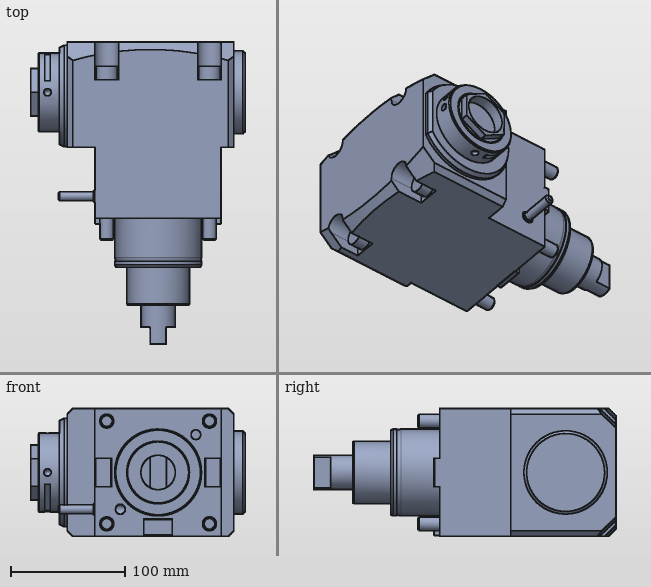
import cadquery as cq
import math


HALF_HEIGHT = 56.0
NARROW_HALF_WIDTH = 55.2
WIDE_LEFT = -79.5
WIDE_RIGHT = 66.3
BACK_Y = 44.0
STEP_Y = -48.0
FACE_Y = -110.0
EDGE_CHAMFER = 5.0

CLEARANCE_RADIUS = 243.0
CLEARANCE_DEPTH = 6.5
CLEARANCE_CENTER_X = (WIDE_LEFT + WIDE_RIGHT) / 2

COLLAR_RADIUS = 38.0
COLLAR_END_Y = -152.9
COLLAR_CHAMFER_LENGTH = 2.0
COLLAR_CHAMFER_DEPTH = 1.0
GROOVE_START_Y = -144.1
GROOVE_END_Y = -147.5
GROOVE_DEPTH = 0.8
NECK_RADIUS = 27.5
NECK_END_Y = -186.0
NECK_CHAMFER_LENGTH = 1.5
NECK_CHAMFER_DEPTH = 0.8
SHAFT_RADIUS = 15.0
SHAFT_END_Y = -205.0
TANG_END_Y = -220.0
TANG_THICKNESS = 14.0
TANG_ROOT_FILLET = 0.8

SCREW_OFFSET = 45.0
SCREW_RADIUS = 6.0
SCREW_END_Y = -129.0
SCREW_CHAMFER = 1.3
SCREW_HEAD_RADIUS = 9.2
SCREW_HEAD_LENGTH = 11.5
SLOT_RADIUS = 10.3
SLOT_FLOOR_Y = 11.0

KEY_WIDTH = 25.0
KEY_INNER = 40.7
KEY_OUTER = NARROW_HALF_WIDTH
KEY_HEIGHT = 5.0
KEY_CHAMFER = 0.8

FACE_HOLE_OFFSET = 33.0
FACE_HOLE_RADIUS = 4.2
PLAIN_HOLE_DEPTH = 10.0
PIN_Y = -90.8
PIN_Z = -32.2
PIN_RADIUS = 4.0
PIN_TIP_X = -87.5
PIN_TIP_CHAMFER = 1.5
PIN_COLLAR_RADIUS = 5.5
PIN_COLLAR_LENGTH = 1.3
PIN_COLLAR_CHAMFER = 1.0

FLANGE_RADIUS = 47.5
FLANGE_END_X = -86.3
FLANGE_FLAT_Y = 41.2
FLANGE_CHAMFER_LENGTH = 4.2
FLANGE_CHAMFER_DEPTH = 2.0
BOSS_RADIUS = 36.5
BOSS_END_X = 76.3
BOSS_CHAMFER = 2.5

JOURNAL_RADIUS = 24.3
HEX_ACROSS_FLATS = 41.7
HEX_END_X = -111.5
SPINDLE_BORE_RADIUS = 18.5
SPINDLE_BORE_DEPTH = 10.5

RING_RADIUS = 34.5
RING_END_X = -104.8
RING_CHAMFER = 1.0
RING_FEATURE_X = -96.5
RING_HOLE_RADIUS = 3.2
RING_HOLE_DEPTH = 4.0
RING_HOLE_COUNT = 4
RING_SLOT_WIDTH = 4.5
RING_SLOT_FLOOR = 30.5


def box(x_range, y_range, z_range):
    """Box that spans the given ranges."""
    sizes = [end - start for start, end in (x_range, y_range, z_range)]
    return cq.Workplane("XY").box(*sizes, centered=False).translate((x_range[0], y_range[0], z_range[0]))


def cylinder_x(radius, x_start, x_end, y=0, z=0):
    """Cylinder along X between two X positions."""
    return cq.Workplane("YZ", origin=(x_start, y, z)).circle(radius).extrude(x_end - x_start)


def cylinder_y(radius, y_start, y_end, x=0, z=0):
    """Cylinder along Y between two Y positions."""
    return cq.Workplane("XZ", origin=(x, y_start, z)).circle(radius).extrude(y_start - y_end)


def make_block():
    """T-shaped block with chamfered long edges on its wide part."""
    height = (-HALF_HEIGHT, HALF_HEIGHT)
    wide = box((WIDE_LEFT, WIDE_RIGHT), (STEP_Y, BACK_Y), height).edges("|Y").chamfer(EDGE_CHAMFER)
    narrow = box((-NARROW_HALF_WIDTH, NARROW_HALF_WIDTH), (FACE_Y, STEP_Y), height)
    return wide.union(narrow)


def make_clearance_envelope():
    """Double-ended 45 degree cone that trims the upper and lower back edges."""
    axis_y = BACK_Y - CLEARANCE_DEPTH - CLEARANCE_RADIUS
    full_radius = CLEARANCE_RADIUS + HALF_HEIGHT
    profile = [
        (0, -HALF_HEIGHT),
        (CLEARANCE_RADIUS, -HALF_HEIGHT),
        (full_radius, 0),
        (CLEARANCE_RADIUS, HALF_HEIGHT),
        (0, HALF_HEIGHT),
    ]
    cone = cq.Workplane("XZ").polyline(profile).close().revolve(360, (0, 0, 0), (0, 1, 0))
    return cone.translate((CLEARANCE_CENTER_X, axis_y, 0))


def make_drive_shaft():
    """Stepped round shaft along Y with a flat drive tang at its end."""
    groove_radius = COLLAR_RADIUS - GROOVE_DEPTH
    profile = [
        (0, FACE_Y),
        (COLLAR_RADIUS, FACE_Y),
        (COLLAR_RADIUS, GROOVE_START_Y),
        (groove_radius, GROOVE_END_Y),
        (COLLAR_RADIUS, GROOVE_END_Y),
        (COLLAR_RADIUS, COLLAR_END_Y + COLLAR_CHAMFER_LENGTH),
        (COLLAR_RADIUS - COLLAR_CHAMFER_DEPTH, COLLAR_END_Y),
        (NECK_RADIUS, COLLAR_END_Y),
        (NECK_RADIUS, NECK_END_Y + NECK_CHAMFER_LENGTH),
        (NECK_RADIUS - NECK_CHAMFER_DEPTH, NECK_END_Y),
        (SHAFT_RADIUS, NECK_END_Y),
        (SHAFT_RADIUS, SHAFT_END_Y),
        (0, SHAFT_END_Y),
    ]
    shaft = cq.Workplane("XY").polyline(profile).close().revolve(360, (0, 0, 0), (0, 1, 0))
    tang_slab = box(
        (-TANG_THICKNESS / 2, TANG_THICKNESS / 2), (TANG_END_Y, SHAFT_END_Y), (-SHAFT_RADIUS, SHAFT_RADIUS)
    )
    tang = cylinder_y(SHAFT_RADIUS, SHAFT_END_Y, TANG_END_Y).intersect(tang_slab)
    tang_roots = cq.selectors.BoxSelector(
        (-TANG_THICKNESS, SHAFT_END_Y - TANG_ROOT_FILLET, -SHAFT_RADIUS),
        (TANG_THICKNESS, SHAFT_END_Y + TANG_ROOT_FILLET, SHAFT_RADIUS),
    )
    return shaft.union(tang).edges("|Z").edges(tang_roots).fillet(TANG_ROOT_FILLET)


def make_head_slot(x, side):
    """Counterbore for a screw head, open to the top (side 1) or bottom (side -1)."""
    z = side * SCREW_OFFSET
    outside = side * HALF_HEIGHT
    round_part = cylinder_y(SLOT_RADIUS, BACK_Y, SLOT_FLOOR_Y, x, z)
    open_part = box((x - SLOT_RADIUS, x + SLOT_RADIUS), (SLOT_FLOOR_Y, BACK_Y), sorted((z, outside)))
    return round_part.union(open_part)


def make_screw(x, z):
    """Screw whose head rests on the slot floor and whose end stands out of the front face."""
    head = cylinder_y(SCREW_HEAD_RADIUS, SLOT_FLOOR_Y + SCREW_HEAD_LENGTH, SLOT_FLOOR_Y, x, z)
    shank = cylinder_y(SCREW_RADIUS, SLOT_FLOOR_Y, SCREW_END_Y, x, z).faces("<Y").chamfer(SCREW_CHAMFER)
    return head.union(shank)


def make_key(angle):
    """Raised key on the front face, turned about the drive axis."""
    key = box((KEY_INNER, KEY_OUTER), (FACE_Y - KEY_HEIGHT, FACE_Y), (-KEY_WIDTH / 2, KEY_WIDTH / 2))
    key = key.faces("<Y").edges("|Z").chamfer(KEY_CHAMFER)
    return key.rotate((0, 0, 0), (0, 1, 0), angle)


def make_pin():
    """Side pin with a beveled tip and a short collar at the housing wall."""
    wall_x = -NARROW_HALF_WIDTH
    shank = cylinder_x(PIN_RADIUS, PIN_TIP_X, wall_x, PIN_Y, PIN_Z).faces("<X").chamfer(PIN_TIP_CHAMFER)
    collar = cylinder_x(PIN_COLLAR_RADIUS, wall_x - PIN_COLLAR_LENGTH, wall_x, PIN_Y, PIN_Z)
    collar = collar.faces("<X").chamfer(PIN_COLLAR_CHAMFER)
    return shank.union(collar)


def make_coolant_passage():
    """Hole in the front face that meets a cross bore behind the pin."""
    entry = cylinder_y(FACE_HOLE_RADIUS, PIN_Y, FACE_Y, -FACE_HOLE_OFFSET, PIN_Z)
    cross_bore_end = -FACE_HOLE_OFFSET + FACE_HOLE_RADIUS
    cross_bore = cylinder_x(FACE_HOLE_RADIUS, -NARROW_HALF_WIDTH, cross_bore_end, PIN_Y, PIN_Z)
    return entry.union(cross_bore)


def make_flange():
    """Round flange with one flat; its bevel follows the whole rim."""

    def outline(x, inset):
        radius = FLANGE_RADIUS - inset
        flat_y = FLANGE_FLAT_Y - inset
        half_chord = math.sqrt(radius**2 - flat_y**2)
        sketch = cq.Workplane("YZ", origin=(x, 0, 0)).moveTo(flat_y, half_chord)
        return sketch.threePointArc((-radius, 0), (flat_y, -half_chord)).close()

    bevel_x = FLANGE_END_X + FLANGE_CHAMFER_LENGTH
    rim = outline(bevel_x, 0).extrude(WIDE_LEFT - bevel_x)
    front_rim = outline(FLANGE_END_X, FLANGE_CHAMFER_DEPTH).wires().val()
    back_rim = outline(bevel_x, 0).wires().val()
    bevel = cq.Workplane(cq.Solid.makeLoft([front_rim, back_rim], True))
    return rim.union(bevel)


def make_spindle_nose():
    """Journal inside the lock ring, and a bored hexagon in front of it."""
    journal = cylinder_x(JOURNAL_RADIUS, RING_END_X, FLANGE_END_X)
    corner_diameter = HEX_ACROSS_FLATS / math.cos(math.pi / 6)
    hexagon = cq.Workplane("YZ", origin=(HEX_END_X, 0, 0)).polygon(6, corner_diameter)
    hexagon = hexagon.extrude(RING_END_X - HEX_END_X).rotate((0, 0, 0), (1, 0, 0), 90)
    bore = cylinder_x(SPINDLE_BORE_RADIUS, HEX_END_X, HEX_END_X + SPINDLE_BORE_DEPTH)
    return journal.union(hexagon).cut(bore)


def make_housing():
    """Housing block with everything that is fixed to it."""
    housing = make_block().intersect(make_clearance_envelope())
    for x in (-SCREW_OFFSET, SCREW_OFFSET):
        for side in (-1, 1):
            housing = housing.cut(make_head_slot(x, side))
            housing = housing.union(make_screw(x, side * SCREW_OFFSET))

    plain_hole = cylinder_y(
        FACE_HOLE_RADIUS, FACE_Y + PLAIN_HOLE_DEPTH, FACE_Y, FACE_HOLE_OFFSET, FACE_HOLE_OFFSET
    )
    housing = housing.cut(plain_hole).cut(make_coolant_passage())

    for angle in (0, 90, 180):
        housing = housing.union(make_key(angle))

    boss = cylinder_x(BOSS_RADIUS, WIDE_RIGHT, BOSS_END_X).faces(">X").chamfer(BOSS_CHAMFER)
    for attached in (make_drive_shaft(), make_pin(), make_flange(), boss, make_spindle_nose()):
        housing = housing.union(attached)
    return housing


def make_lock_ring():
    """Ring with radial blind holes and two flat-bottomed wrench slots."""
    ring = cylinder_x(RING_RADIUS, RING_END_X, FLANGE_END_X)
    ring = ring.cut(cylinder_x(JOURNAL_RADIUS, RING_END_X, FLANGE_END_X))
    ring = ring.faces("<X").chamfer(RING_CHAMFER)

    hole_floor = RING_RADIUS - RING_HOLE_DEPTH
    tip_floor = hole_floor - RING_HOLE_RADIUS
    drill_profile = [
        (0, tip_floor),
        (RING_HOLE_RADIUS, hole_floor),
        (RING_HOLE_RADIUS, RING_RADIUS),
        (0, RING_RADIUS),
    ]
    drill = cq.Workplane("XZ").polyline(drill_profile).close().revolve(360, (0, 0, 0), (0, 1, 0))
    drill = drill.translate((RING_FEATURE_X, 0, 0))
    for index in range(RING_HOLE_COUNT):
        ring = ring.cut(drill.rotate((0, 0, 0), (1, 0, 0), index * 360 / RING_HOLE_COUNT))

    slot_x = (RING_FEATURE_X - RING_SLOT_WIDTH / 2, RING_FEATURE_X + RING_SLOT_WIDTH / 2)
    slot = box(slot_x, (-RING_RADIUS, RING_RADIUS), (RING_SLOT_FLOOR, RING_RADIUS))
    for angle in (-45, 135):
        ring = ring.cut(slot.rotate((0, 0, 0), (1, 0, 0), angle))
    return ring


housing = make_housing()
lock_ring = make_lock_ring()

result = cq.Compound.makeCompound([housing.val(), lock_ring.val()])